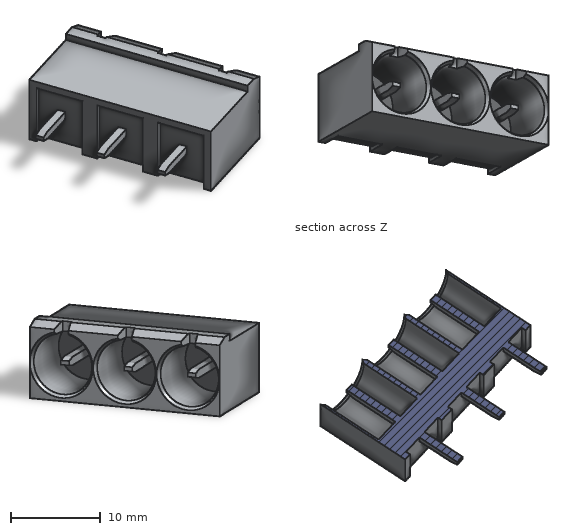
import cadquery as cq


housing_length = 22.8
housing_depth = 12.0
housing_height = 8.0
ridge_height = 0.8
ridge_width = 3.0
ridge_slope_width = 1.45
ridge_slope_drop = 0.6
total_height = housing_height + ridge_height

contact_count = 3
contact_pitch = 7.62

pin_size = 0.98
pin_height = 4.17
pin_overhang = 4.8
pin_rear_inset = 1.1
pin_taper_length = 1.0
pin_tip_thickness = pin_size / 2

window_width = 5.72
window_height = 7.15
window_depth = 0.55

groove_height = 0.45
groove_length = 2.28

socket_radius = 3.49
socket_depth = 7.98
flare_depth = 0.45
flare_rise = 0.3

slit_depth = 1.7
slit_mouth_width = 1.7
slit_end_width = 1.03


def make_housing():
    """Housing block with the sloped ridge along its rear top edge."""
    ridge_front = housing_depth - ridge_width
    return (
        cq.Workplane("YZ")
        .moveTo(0, 0)
        .lineTo(housing_depth, 0)
        .lineTo(housing_depth, total_height - ridge_slope_drop)
        .lineTo(housing_depth - ridge_slope_width, total_height)
        .lineTo(ridge_front, total_height)
        .lineTo(ridge_front, housing_height)
        .lineTo(0, housing_height)
        .close()
        .extrude(housing_length / 2, both=True)
    )


def make_window():
    """Front window together with the groove running back from its lower edge."""
    window = cq.Workplane("XY").box(
        window_width, window_depth, window_height, centered=(True, False, False)
    )
    groove = cq.Workplane("XY").box(
        window_width, window_depth + groove_length, groove_height, centered=(True, False, False)
    )
    return window.union(groove)


def make_socket():
    """Round socket with its flared mouth, on the pin axis."""
    mouth = cq.Vector(0, housing_depth, pin_height)
    inward = cq.Vector(0, -1, 0)
    barrel = cq.Solid.makeCylinder(socket_radius, socket_depth, mouth, inward)
    flare = cq.Solid.makeCone(socket_radius + flare_rise, socket_radius, flare_depth, mouth, inward)
    return cq.Workplane(obj=barrel.fuse(flare))


def make_slit():
    """Tapered slit reaching from the pin axis up through the ridge."""
    mouth_half = slit_mouth_width / 2
    end_half = slit_end_width / 2
    slit_end = housing_depth - slit_depth
    return (
        cq.Workplane("XY", origin=(0, 0, pin_height))
        .moveTo(-mouth_half, housing_depth)
        .lineTo(mouth_half, housing_depth)
        .lineTo(end_half, slit_end)
        .lineTo(-end_half, slit_end)
        .close()
        .extrude(total_height - pin_height)
    )


def make_pin():
    """Straight pin from the front tip to the tip inside the socket."""
    front = -pin_overhang
    rear = housing_depth - pin_rear_inset
    half = pin_size / 2
    tip_half = pin_tip_thickness / 2
    upper = [
        (front, tip_half),
        (front + pin_taper_length, half),
        (rear - pin_taper_length, half),
        (rear, tip_half),
    ]
    lower = [(y, -z) for y, z in reversed(upper)]
    return (
        cq.Workplane("YZ", origin=(0, 0, pin_height))
        .polyline(upper + lower)
        .close()
        .extrude(half, both=True)
    )


window_cutter = make_window()
socket_cutter = make_socket().union(make_slit())
pin = make_pin()

result = make_housing()
for index in range(contact_count):
    offset = ((index - (contact_count - 1) / 2) * contact_pitch, 0, 0)
    result = result.cut(window_cutter.translate(offset))
    result = result.cut(socket_cutter.translate(offset))
    result = result.union(pin.translate(offset))